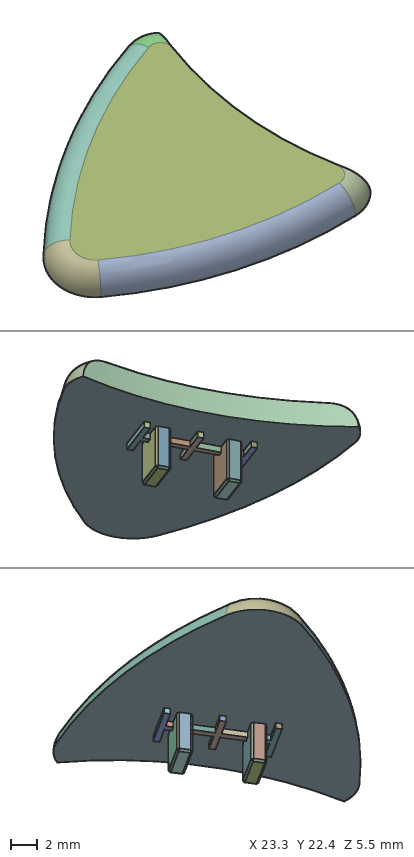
import cadquery as cq
import math

width = 23.32
length = 22.36
plate_height = 2.0
edge_radius = 1.98
apex_radius = 3.87
corner_radius = 3.03
side_radius = 37.31
tip_x = 10.98
back_dip = 2.03

mount_x = -0.25
mount_y = 15.62
rib_height = 0.5
rib_width = 0.5
rib_frame_length = 9.05
rib_frame_depth = 3.65
post_spacing = 5.7
post_width = 1.21
post_depth = 3.08
post_length = 3.5
post_chamfer = 0.16

corner_x = width / 2 - corner_radius
corner_y = length - math.sqrt(corner_radius**2 - (tip_x - corner_x) ** 2)


def side_arc_center():
    """Center of the right side arc, internally tangent to the apex and corner circles."""
    to_apex = side_radius - apex_radius
    to_corner = side_radius - corner_radius
    dx = corner_x
    dy = corner_y - apex_radius
    spacing = math.hypot(dx, dy)
    along = (to_apex**2 - to_corner**2 + spacing**2) / (2 * spacing)
    across = math.sqrt(to_apex**2 - along**2)
    x = (along * dx - across * dy) / spacing
    y = apex_radius + (along * dy + across * dx) / spacing
    return x, y


def point_on_circle(center, radius, angle):
    return center[0] + radius * math.cos(angle), center[1] + radius * math.sin(angle)


def mirrored(point):
    return -point[0], point[1]


def make_plate():
    """Rounded convex shield with a rolled top edge, before the back is hollowed."""
    side = side_arc_center()
    corner = (corner_x, corner_y)
    apex_angle = math.atan2(apex_radius - side[1], -side[0])
    corner_angle = math.atan2(corner_y - side[1], corner_x - side[0])
    apex_end = point_on_circle(side, side_radius, apex_angle)
    side_middle = point_on_circle(side, side_radius, (apex_angle + corner_angle) / 2)
    corner_start = point_on_circle(side, side_radius, corner_angle)
    corner_middle = point_on_circle(corner, corner_radius, (corner_angle + math.pi / 2) / 2)
    corner_end = (corner_x, corner_y + corner_radius)
    outline = (
        cq.Workplane("XY")
        .moveTo(*mirrored(apex_end))
        .threePointArc((0, 0), apex_end)
        .threePointArc(side_middle, corner_start)
        .threePointArc(corner_middle, corner_end)
        .lineTo(*mirrored(corner_end))
        .threePointArc(mirrored(corner_middle), mirrored(corner_start))
        .threePointArc(mirrored(side_middle), mirrored(apex_end))
        .close()
    )
    return outline.extrude(plate_height).faces(">Z").edges().fillet(edge_radius)


def make_back_cutter():
    """Upright cylinder that leaves the concave back wall."""
    radius = (tip_x**2 + back_dip**2) / (2 * back_dip)
    center_y = length - back_dip + radius
    return cq.Workplane("XY").center(0, center_y).circle(radius).extrude(plate_height)


def make_ribs():
    """One long rib with a cross rib in the middle and at both ends."""
    base = cq.Workplane("XY").center(mount_x, mount_y)
    end_offset = (rib_frame_length - rib_width) / 2
    long_rib = base.rect(rib_frame_length, rib_width).extrude(-rib_height)
    cross_ribs = (
        base.pushPoints([(-end_offset, 0), (0, 0), (end_offset, 0)])
        .rect(rib_width, rib_frame_depth)
        .extrude(-rib_height)
    )
    return long_rib.union(cross_ribs)


def make_posts():
    """Two rectangular posts with chamfered corners and lower ends."""
    return (
        cq.Workplane("XY")
        .center(mount_x, mount_y)
        .pushPoints([(-post_spacing / 2, 0), (post_spacing / 2, 0)])
        .rect(post_width, post_depth)
        .extrude(-post_length)
        .edges("|Z or <Z")
        .chamfer(post_chamfer)
    )


result = make_plate().cut(make_back_cutter()).union(make_ribs()).union(make_posts())